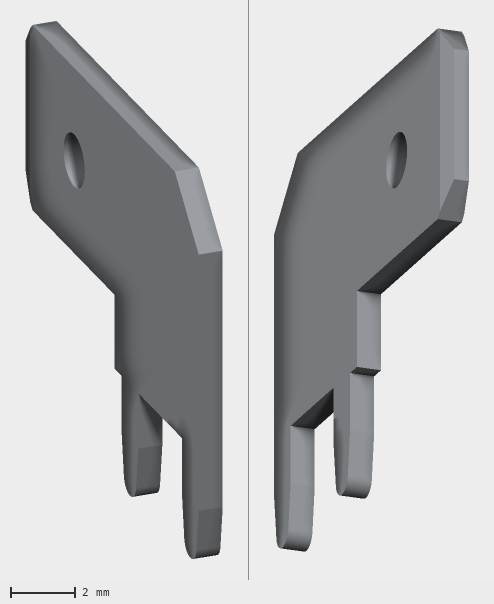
import cadquery as cq

length = 14.99
height = 12.7
thickness = 0.81

blade_width = 6.35
entry_chamfer = 1.0
bevel_length = 0.81
tip_thickness = 0.5
hole_diameter = 1.78
hole_x = 4.51

body_left = 7.91
shoulder_z = 3.8
corner_chamfer = 2.01

pin_width = 1.41
pin_pitch = 5.08
taper_top_z = 1.9
tip_half_width = 0.51
tip_height = 0.45

blade_bottom_z = height - blade_width
hole_z = height - blade_width / 2
last_pin_x = length - pin_width / 2
pin_centers = [last_pin_x - pin_pitch, last_pin_x]


def extrude_through(sketch):
    """Extrude an XZ outline to the full thickness, centered on Y = 0."""
    return sketch.extrude(thickness).translate((0, thickness / 2, 0))


def make_plate():
    outline = [
        (0, blade_bottom_z + entry_chamfer),
        (0, height - entry_chamfer),
        (entry_chamfer, height),
        (length - corner_chamfer, height),
        (length, height - corner_chamfer),
        (length, shoulder_z),
        (body_left, shoulder_z),
        (body_left, blade_bottom_z),
        (entry_chamfer, blade_bottom_z),
    ]
    return extrude_through(cq.Workplane("XZ").polyline(outline).close())


def make_pin(center_x):
    """Pin with tapered sides and a rounded tip."""
    half_width = pin_width / 2
    sketch = (
        cq.Workplane("XZ")
        .moveTo(center_x - half_width, shoulder_z)
        .lineTo(center_x - half_width, taper_top_z)
        .lineTo(center_x - tip_half_width, tip_height)
        .threePointArc((center_x, 0), (center_x + tip_half_width, tip_height))
        .lineTo(center_x + half_width, taper_top_z)
        .lineTo(center_x + half_width, shoulder_z)
        .close()
    )
    return extrude_through(sketch)


def make_bevel_cutter(side):
    """Wedge that thins the entry end on the +Y (side = 1) or -Y (side = -1) face."""
    wedge = [
        (0, side * tip_thickness / 2),
        (bevel_length, side * thickness / 2),
        (0, side * thickness / 2),
    ]
    return cq.Workplane("XY").polyline(wedge).close().extrude(height)


result = make_plate()
for pin_x in pin_centers:
    result = result.union(make_pin(pin_x))
for face_side in (-1, 1):
    result = result.cut(make_bevel_cutter(face_side))

hole = extrude_through(cq.Workplane("XZ").center(hole_x, hole_z).circle(hole_diameter / 2))
result = result.cut(hole)